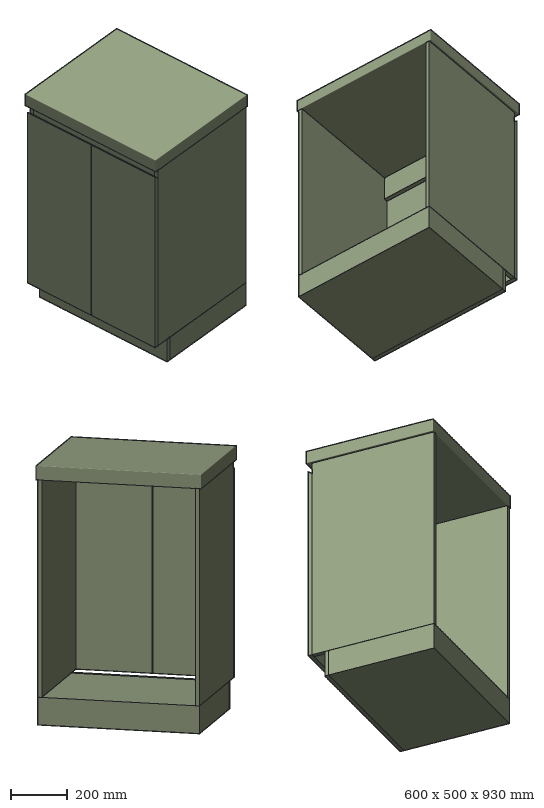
import cadquery as cq

top_width = 600
top_depth = 500
total_height = 930

worktop_thickness = 50
worktop_edge_radius = 1

board_thickness = 15

carcass_width = 586
carcass_depth = 480
rail_height = 100

plinth_height = 100
plinth_depth = 430

door_gap = 4
door_top = 850
door_bevel_drop = 11

carcass_top = total_height - worktop_thickness
carcass_height = carcass_top - plinth_height
rail_width = carcass_width - 2 * board_thickness
rail_bottom = carcass_top - rail_height
door_width = (carcass_width - door_gap) / 2
kick_board_back = board_thickness - plinth_depth
sides = (-1, 1)


def block(width, depth, height, front, bottom, x_centre=0):
    """Box given by its front face Y, its bottom Z and its X centre."""
    box = cq.Workplane("XY").box(width, depth, height, centered=(True, False, False))
    return box.translate((x_centre, front, bottom))


def make_worktop():
    """Worktop slab with all its edges slightly rounded."""
    slab = block(top_width, top_depth, worktop_thickness, -top_depth, carcass_top)
    return slab.edges().fillet(worktop_edge_radius)


def make_side_panel(side):
    """Upright carcass panel standing on the plinth."""
    x_centre = side * (carcass_width - board_thickness) / 2
    return block(board_thickness, carcass_depth, carcass_height, -carcass_depth, plinth_height, x_centre)


def make_rail():
    """Front rail under the worktop, flush between the side panels."""
    return block(rail_width, board_thickness, rail_height, -carcass_depth, rail_bottom)


def make_kick_board():
    """Board across the front of the plinth."""
    return block(carcass_width, board_thickness, plinth_height, -plinth_depth, 0)


def make_plinth():
    """Base behind the kick board, reaching to the back of the cabinet."""
    return block(carcass_width, -kick_board_back, plinth_height, kick_board_back, 0)


def make_door(side):
    """Door with a top edge that slopes down toward the carcass as a finger grip."""
    door_back = -carcass_depth
    door_front = door_back - board_thickness
    profile = [
        (door_back, plinth_height),
        (door_front, plinth_height),
        (door_front, door_top),
        (door_back, door_top - door_bevel_drop),
    ]
    x_centre = side * (door_width + door_gap) / 2
    slab = cq.Workplane("YZ").polyline(profile).close().extrude(door_width / 2, both=True)
    return slab.translate((x_centre, 0, 0))


worktop = make_worktop()
side_panels = [make_side_panel(side) for side in sides]
rail = make_rail()
kick_board = make_kick_board()
plinth = make_plinth()
doors = [make_door(side) for side in sides]

bodies = [worktop, *side_panels, rail, kick_board, plinth, *doors]
result = cq.Compound.makeCompound([body.val() for body in bodies])